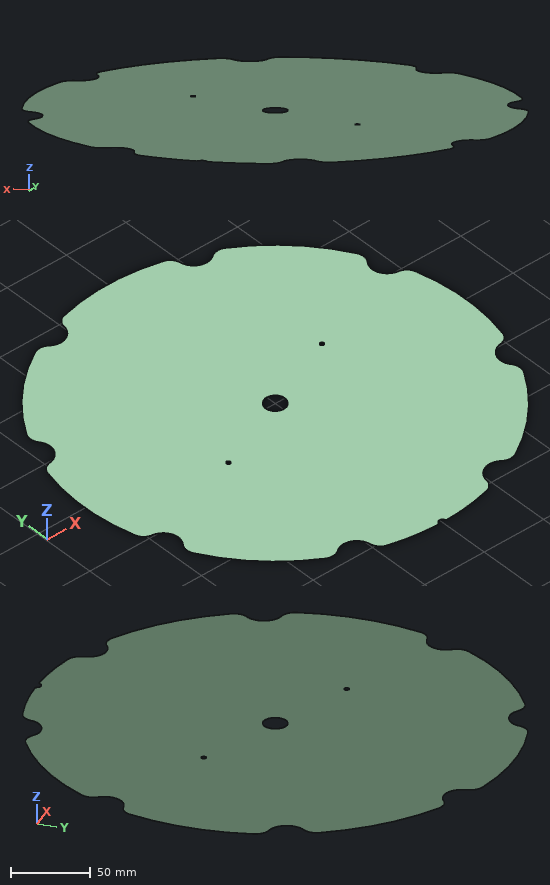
import cadquery as cq
import math

disc_diameter = 320.2
disc_radius = disc_diameter / 2
thickness = 0.42

notch_count = 8
notch_radius = 12.5
notch_corner_radius = 10.0
notch_pitch = 360 / notch_count
first_notch_angle = notch_pitch / 2

index_radius = 3.0
index_corner_radius = 2.0
index_angle = -90

bore_diameter = 16.0
pin_hole_diameter = 3.2
pin_circle_radius = 67.0
pin_angles = [first_notch_angle, first_notch_angle + 180]


def polar_point(radius, angle):
    """Point at a distance from the disc centre and an angle in degrees from +X."""
    turn = math.radians(angle)
    return (radius * math.cos(turn), radius * math.sin(turn))


def cylinders(points, diameter):
    """Upright cylinders through the full disc thickness."""
    return cq.Workplane("XY").pushPoints(points).circle(diameter / 2).extrude(thickness)


def cut_rim_notches(body, angles, radius, corner_radius):
    """Cut round notches centred on the rim and round both of their outer corners."""
    centres = [polar_point(disc_radius, angle) for angle in angles]
    body = body.cut(cylinders(centres, 2 * radius))

    half_angle = math.degrees(2 * math.asin(radius / (2 * disc_radius)))
    for angle in angles:
        for side in (-1, 1):
            x, y = polar_point(disc_radius, angle + side * half_angle)
            corner = cq.selectors.NearestToPointSelector((x, y, thickness / 2))
            body = body.edges("|Z").edges(corner).fillet(corner_radius)
    return body


disc = cq.Workplane("XY").circle(disc_radius).extrude(thickness)

notch_angles = [first_notch_angle + i * notch_pitch for i in range(notch_count)]
disc = cut_rim_notches(disc, notch_angles, notch_radius, notch_corner_radius)
disc = cut_rim_notches(disc, [index_angle], index_radius, index_corner_radius)

disc = disc.cut(cylinders([(0, 0)], bore_diameter))
pin_points = [polar_point(pin_circle_radius, angle) for angle in pin_angles]
result = disc.cut(cylinders(pin_points, pin_hole_diameter))